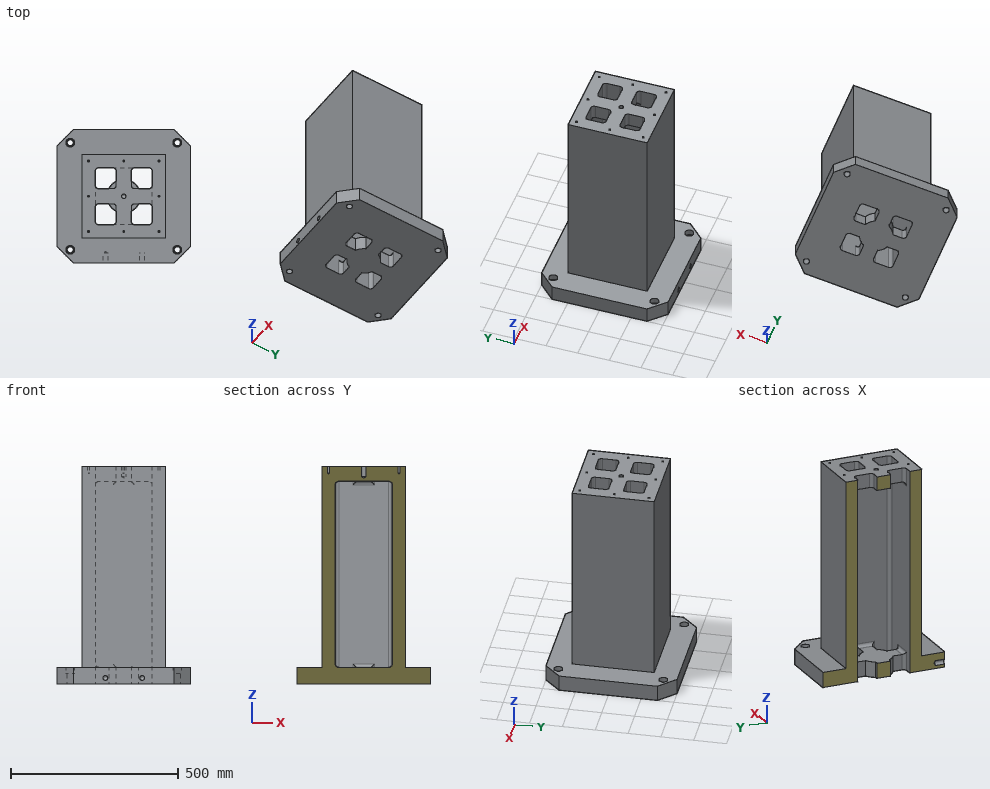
import cadquery as cq
total_height = 650

base_width = 400.0
base_thickness = 50.0
base_corner_chamfer = 50.0

column_width = 250.0

shaft_width = 62.5
shaft_spacing = 107.0
corner_radius = 10.5
hub_diameter = 100.0

top_wall_thickness = 45.0
cavity_width = shaft_spacing + shaft_width
cavity_height = total_height - top_wall_thickness - base_thickness

bolt_spacing = 320.0
bolt_hole_diameter = 18.0
counterbore_diameter = 26
counterbore_depth = 18.0

drill_tip_ratio = 0.3
pin_hole_diameter = 5.0
pin_hole_depth = 20.0
pin_hole_pitch = 105.0
centre_hole_diameter = 13
centre_hole_depth = 30.0
side_hole_diameter = 14.0
side_hole_depth = 30.0
side_hole_spacing = 110.0
side_hole_height = 18.0


def drilled_hole(diameter, depth, mouth, direction):
    """Blind hole cutter with a conical tip, starting at its mouth."""
    start = cq.Vector(*mouth)
    axis = cq.Vector(*direction)
    bore = cq.Solid.makeCylinder(diameter / 2, depth, start, axis)
    tip = cq.Solid.makeCone(diameter / 2, 0, diameter * drill_tip_ratio, start + axis * depth, axis)
    return cq.Workplane(bore.fuse(tip))


base = (
    cq.Workplane("XY")
    .rect(base_width, base_width)
    .extrude(base_thickness)
    .edges("|Z")
    .chamfer(base_corner_chamfer)
)
column = cq.Workplane("XY").rect(column_width, column_width).extrude(total_height)
result = base.union(column)

cavity = (
    cq.Workplane("XY")
    .workplane(offset=base_thickness)
    .rect(cavity_width, cavity_width)
    .extrude(cavity_height)
    .edges()
    .fillet(corner_radius)
)
result = result.cut(cavity)

hub = cq.Workplane("XY").circle(hub_diameter / 2).extrude(base_thickness)
shafts = (
    cq.Workplane("XY")
    .rect(shaft_spacing, shaft_spacing, forConstruction=True)
    .vertices()
    .rect(shaft_width, shaft_width)
    .extrude(total_height)
    .edges("|Z")
    .fillet(corner_radius)
)
result = result.cut(shafts.cut(hub))

bolt_points = cq.Workplane("XY").rect(bolt_spacing, bolt_spacing, forConstruction=True).vertices()
bolt_holes = bolt_points.circle(bolt_hole_diameter / 2).extrude(base_thickness)
counterbores = (
    bolt_points.circle(counterbore_diameter / 2)
    .extrude(counterbore_depth)
    .translate((0, 0, base_thickness - counterbore_depth))
)
result = result.cut(bolt_holes).cut(counterbores)

for x_index in (-1, 0, 1):
    for y_index in (-1, 0, 1):
        mouth = (x_index * pin_hole_pitch, y_index * pin_hole_pitch, total_height)
        if x_index == 0 and y_index == 0:
            hole = drilled_hole(centre_hole_diameter, centre_hole_depth, mouth, (0, 0, -1))
        else:
            hole = drilled_hole(pin_hole_diameter, pin_hole_depth, mouth, (0, 0, -1))
        result = result.cut(hole)

for x in (-side_hole_spacing / 2, side_hole_spacing / 2):
    mouth = (x, -base_width / 2, side_hole_height)
    result = result.cut(drilled_hole(side_hole_diameter, side_hole_depth, mouth, (0, 1, 0)))